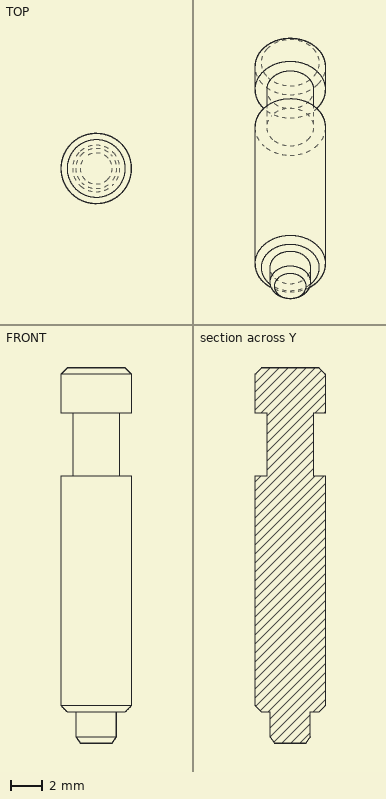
import cadquery as cq

total_length = 24.0
head_length = 2.9
neck_length = 4.0
tip_length = 2.0
body_length = total_length - head_length - neck_length - tip_length

body_diameter = 4.5
neck_diameter = 3.0
tip_diameter = 2.6

body_chamfer = 0.4
tip_chamfer_height = 0.4
tip_chamfer_width = 0.3

tip_bottom = -total_length / 2
body_bottom = tip_bottom + tip_length
body_top = body_bottom + body_length
neck_top = body_top + neck_length
head_top = neck_top + head_length

body_radius = body_diameter / 2
neck_radius = neck_diameter / 2
tip_radius = tip_diameter / 2

profile = (
    cq.Workplane("XZ")
    .moveTo(0, tip_bottom)
    .lineTo(tip_radius - tip_chamfer_width, tip_bottom)
    .lineTo(tip_radius, tip_bottom + tip_chamfer_height)
    .lineTo(tip_radius, body_bottom)
    .lineTo(body_radius - body_chamfer, body_bottom)
    .lineTo(body_radius, body_bottom + body_chamfer)
    .lineTo(body_radius, body_top)
    .lineTo(neck_radius, body_top)
    .lineTo(neck_radius, neck_top)
    .lineTo(body_radius, neck_top)
    .lineTo(body_radius, head_top - body_chamfer)
    .lineTo(body_radius - body_chamfer, head_top)
    .lineTo(0, head_top)
    .close()
)

result = profile.revolve(360, (0, 0, 0), (0, 1, 0))